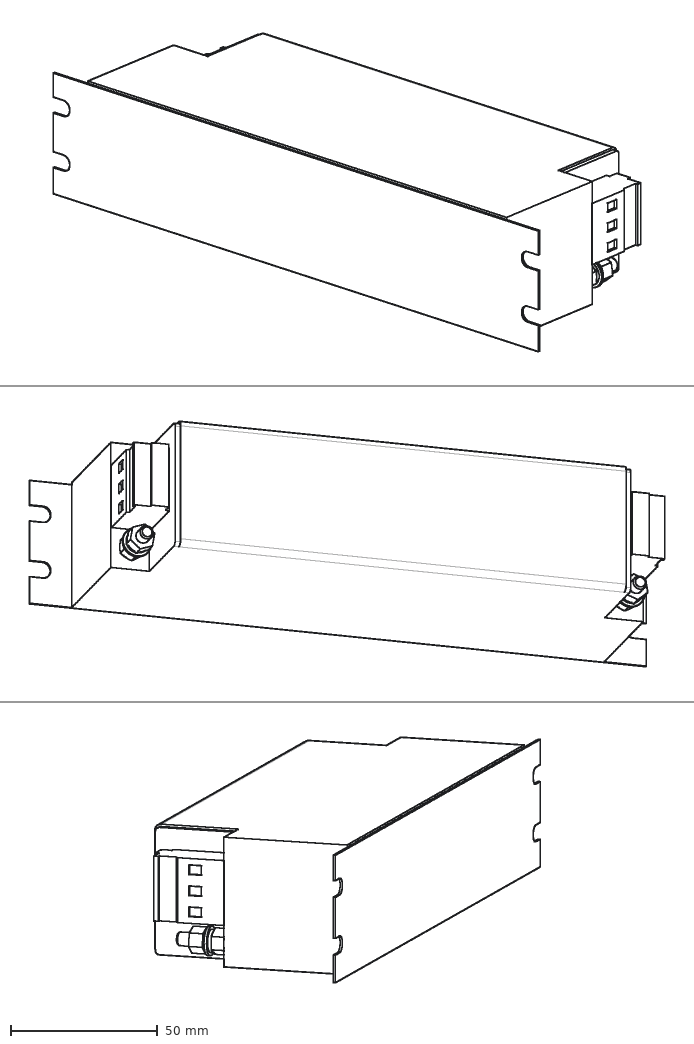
import cadquery as cq

total_length = 220.0
total_depth = 75.0
total_height = 45.0
sheet = 0.8

housing_half_length = 95.0
front_depth = 45.0
rear_half_length = 81.3
cover_half_length = 79.5
bend_radius = 2.2

slot_width = 5.8
slot_depth = 7.5
slot_pitch = 20.0

pole_count = 3
pole_pitch = 7.5
block_center_z = 25.6
block_height = pole_count * pole_pitch
block_half_length = 94.8
shoulder_y = 61.7
shoulder_top_y = 62.5
rim_y = 68.6
lip_y = 70.3
crest_y = 71.6
back_step_y = 67.8
face_recess = 1.0
rim_overhang = 0.9
crest_outer_x = 88.8
crest_inner_x = 82.7
window_center_y = 55.4
window_length = 4.5
window_height = 3.3
window_pitch = 7.3
window_depth = 1.0

stud_x = 88.0
stud_z = 7.4
stud_radius = 2.35
stud_end_y = 63.8
stud_chamfer = 0.6
nut_across_corners = 9.24
nut_sides = 6
nut_chamfer = 1.2
lock_nut_end_y = 50.6
collar_radius = 4.0
washer_start_y = 51.9
washer_end_y = 52.8
washer_radius = 5.1
clamp_nut_start_y = 53.7
clamp_nut_end_y = 58.6
clamp_nut_turn = 10.0


def box(x_range, y_range, z_range):
    """Block between opposite limits on each axis."""
    size = [limits[1] - limits[0] for limits in (x_range, y_range, z_range)]
    corner = (x_range[0], y_range[0], z_range[0])
    return cq.Workplane("XY").box(*size, centered=False).translate(corner)


def stud_section(y):
    """Workplane across the stud axis, facing +Y."""
    plane = cq.Plane(origin=(-stud_x, y, stud_z), xDir=(0, 0, 1), normal=(0, 1, 0))
    return cq.Workplane(plane)


def cylinder(radius, y_start, y_end):
    """Disc or rod along Y on the stud axis."""
    return stud_section(y_start).circle(radius).extrude(y_end - y_start)


def make_housing():
    """Housing behind the plate; the cover wraps the top and back of the narrower rear part."""
    inner_height = total_height - sheet
    inner_depth = total_depth - sheet
    front = box(
        (-housing_half_length, housing_half_length), (sheet, front_depth), (0, total_height)
    )
    inner = box((-rear_half_length, rear_half_length), (sheet, inner_depth), (0, inner_height))
    inner = inner.edges("|X and >Y").fillet(bend_radius - sheet)
    cover = box((-cover_half_length, cover_half_length), (sheet, total_depth), (0, total_height))
    cover = cover.edges("|X and >Y").fillet(bend_radius)
    return front.union(inner).union(cover)


def make_mounting_plate():
    plate_height = total_height - sheet
    plate = box((-total_length / 2, total_length / 2), (0, sheet), (0, plate_height))
    for side in (-1, 1):
        for offset in (-slot_pitch / 2, slot_pitch / 2):
            slot = (
                cq.Workplane("XZ")
                .center(side * total_length / 2, total_height / 2 + offset)
                .slot2D(2 * slot_depth, slot_width)
                .extrude(-sheet)
            )
            plate = plate.cut(slot)
    return plate


def make_terminal_block():
    recess_x = -block_half_length + face_recess
    profile = [
        (-block_half_length, front_depth),
        (-block_half_length, shoulder_y),
        (recess_x, shoulder_top_y),
        (recess_x, rim_y),
        (recess_x - rim_overhang, rim_y),
        (recess_x - rim_overhang, lip_y),
        (-crest_outer_x, lip_y),
        (-crest_outer_x, crest_y),
        (-crest_inner_x, crest_y),
        (-crest_inner_x, back_step_y),
        (-rear_half_length, back_step_y),
        (-rear_half_length, front_depth),
    ]
    block = (
        cq.Workplane("XY", origin=(0, 0, block_center_z))
        .polyline(profile)
        .close()
        .extrude(block_height / 2, both=True)
    )
    for pole in range(pole_count):
        window_z = block_center_z + (pole - (pole_count - 1) / 2) * window_pitch
        window = box(
            (-block_half_length, -block_half_length + window_depth),
            (window_center_y - window_length / 2, window_center_y + window_length / 2),
            (window_z - window_height / 2, window_z + window_height / 2),
        )
        block = block.cut(window)
    return block


def make_nut(y_start, y_end, turn):
    """Hexagon nut; with no turn, two of its corners point up and down."""
    return (
        stud_section(y_start)
        .transformed(rotate=(0, 0, turn))
        .polygon(nut_sides, nut_across_corners)
        .extrude(y_end - y_start)
    )


def make_earth_stud():
    rod = cylinder(stud_radius, front_depth, stud_end_y).faces(">Y").chamfer(stud_chamfer)
    lock_nut = make_nut(front_depth, lock_nut_end_y, 0)
    turning = cylinder(nut_across_corners / 2, front_depth, lock_nut_end_y)
    turning = turning.faces("<Y").chamfer(nut_chamfer)
    lock_nut = lock_nut.intersect(turning)
    collar = cylinder(collar_radius, lock_nut_end_y, clamp_nut_start_y)
    washer = cylinder(washer_radius, washer_start_y, washer_end_y)
    clamp_nut = make_nut(clamp_nut_start_y, clamp_nut_end_y, clamp_nut_turn)
    return rod.union(lock_nut).union(collar).union(washer).union(clamp_nut)


result = make_housing().union(make_mounting_plate())
for fitting in (make_terminal_block(), make_earth_stud()):
    result = result.union(fitting).union(fitting.mirror("YZ"))